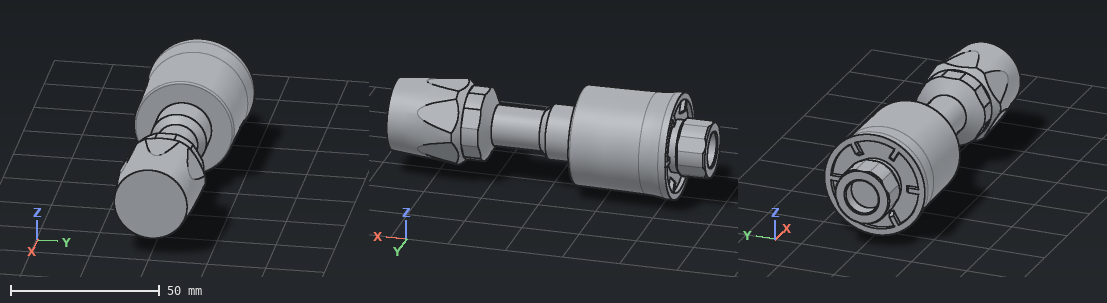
import cadquery as cq
import math

LENGTH = 110.3

INLET_FLATS = 19.0
INLET_CORNER_RADIUS = 9.8
INLET_CHAMFER = 0.7
INLET_CONE_START = 9.6
NECK_START = 10.4
NECK_RADIUS = 18.0 / 2

BORE_RADIUS = 11.8 / 2
BORE_MOUTH_RADIUS = 12.7 / 2
BORE_DEPTH = 5.2

BODY_START = 11.4
RIM_END = 14.0
FLARE_END = 21.0
BODY_END = 45.8
RIM_RADIUS = 36.5 / 2
FLARE_END_RADIUS = 17.4
BARREL_END_RADIUS = 17.1
BARREL_EDGE_RADIUS = 0.7

RECESS_RADIUS = 15.9
RECESS_DEPTH = 1.7
SPOKE_COUNT = 6
SPOKE_WIDTH = 1.8
SPOKE_ROOT_RADIUS = 10.9
SPOKE_CREST_RADIUS = 12.2

SHOULDER_RADIUS = 19.0 / 2
SHOULDER_END = 55.8
TUBE_START = 58.6
TUBE_RADIUS = 14.0 / 2

COLLAR_CONE_START = 75.3
COLLAR_START = 78.4
COLLAR_END = 84.4
COLLAR_FLATS = 24.3
COLLAR_CORNER_RADIUS = 12.6

SOCKET_PEAK = 87.0
SOCKET_PEAK_RADIUS = 14.7
SOCKET_END_RADIUS = 12.5
SOCKET_FLATS = 26.9


def cylinder(start, end, radius):
    """Solid cylinder on the X axis."""
    return cq.Workplane("YZ").workplane(offset=start).circle(radius).extrude(end - start)


def hexagon(start, end, across_flats):
    """Hexagonal bar on the X axis with two flats facing +Z and -Z."""
    corner_diameter = across_flats / math.cos(math.radians(30))
    return cq.Workplane("YZ").workplane(offset=start).polygon(6, corner_diameter).extrude(end - start)


def turned_body():
    """Half outline of the fitting revolved about X; the flare arc leaves the barrel tangentially."""
    edge_inset = BARREL_EDGE_RADIUS * (1 - math.sqrt(0.5))
    edge_middle = (BODY_END - edge_inset, BARREL_END_RADIUS - edge_inset)
    return (
        cq.Workplane("XY")
        .moveTo(LENGTH, 0)
        .lineTo(LENGTH, SOCKET_END_RADIUS)
        .lineTo(SOCKET_PEAK, SOCKET_PEAK_RADIUS)
        .lineTo(COLLAR_END, COLLAR_CORNER_RADIUS)
        .lineTo(COLLAR_START, COLLAR_CORNER_RADIUS)
        .lineTo(COLLAR_CONE_START, TUBE_RADIUS)
        .lineTo(TUBE_START, TUBE_RADIUS)
        .lineTo(SHOULDER_END, SHOULDER_RADIUS)
        .lineTo(BODY_END, SHOULDER_RADIUS)
        .lineTo(BODY_END, BARREL_END_RADIUS - BARREL_EDGE_RADIUS)
        .threePointArc(edge_middle, (BODY_END - BARREL_EDGE_RADIUS, BARREL_END_RADIUS))
        .lineTo(FLARE_END, FLARE_END_RADIUS)
        .tangentArcPoint((RIM_END, RIM_RADIUS), relative=False)
        .lineTo(BODY_START, RIM_RADIUS)
        .lineTo(BODY_START, NECK_RADIUS)
        .lineTo(NECK_START, NECK_RADIUS)
        .lineTo(INLET_CONE_START, INLET_CORNER_RADIUS)
        .lineTo(INLET_CHAMFER, INLET_CORNER_RADIUS)
        .lineTo(0, INLET_FLATS / 2)
        .lineTo(0, 0)
        .close()
        .revolve(360, (0, 0, 0), (1, 0, 0))
    )


def flats_waste(start, end, across_flats):
    """Material outside a hexagon over a stretch of the axis."""
    return cylinder(start, end, RIM_RADIUS).cut(hexagon(start, end, across_flats))


def bore():
    """Blind bore with a 45 degree mouth chamfer."""
    mouth_depth = BORE_MOUTH_RADIUS - BORE_RADIUS
    return (
        cq.Workplane("XY")
        .moveTo(0, 0)
        .lineTo(0, BORE_MOUTH_RADIUS)
        .lineTo(mouth_depth, BORE_RADIUS)
        .lineTo(BORE_DEPTH, BORE_RADIUS)
        .lineTo(BORE_DEPTH, 0)
        .close()
        .revolve(360, (0, 0, 0), (1, 0, 0))
    )


def rim_recess():
    """Ring pocket in the rim face, less the spokes that stay level with the rim."""
    floor = BODY_START + RECESS_DEPTH
    recess = cylinder(BODY_START, floor, RECESS_RADIUS).cut(cylinder(BODY_START, floor, NECK_RADIUS))
    spoke = (
        cq.Workplane("XY")
        .polyline([
            (floor, SPOKE_ROOT_RADIUS),
            (BODY_START, SPOKE_CREST_RADIUS),
            (BODY_START, RIM_RADIUS),
            (floor, RIM_RADIUS),
        ])
        .close()
        .extrude(SPOKE_WIDTH / 2, both=True)
    )
    for index in range(SPOKE_COUNT):
        recess = recess.cut(spoke.rotate((0, 0, 0), (1, 0, 0), index * 360 / SPOKE_COUNT))
    return recess


result = (
    turned_body()
    .cut(flats_waste(0, NECK_START, INLET_FLATS))
    .cut(flats_waste(COLLAR_CONE_START, COLLAR_END, COLLAR_FLATS))
    .cut(flats_waste(COLLAR_END, LENGTH, SOCKET_FLATS))
    .cut(bore())
    .cut(rim_recess())
)